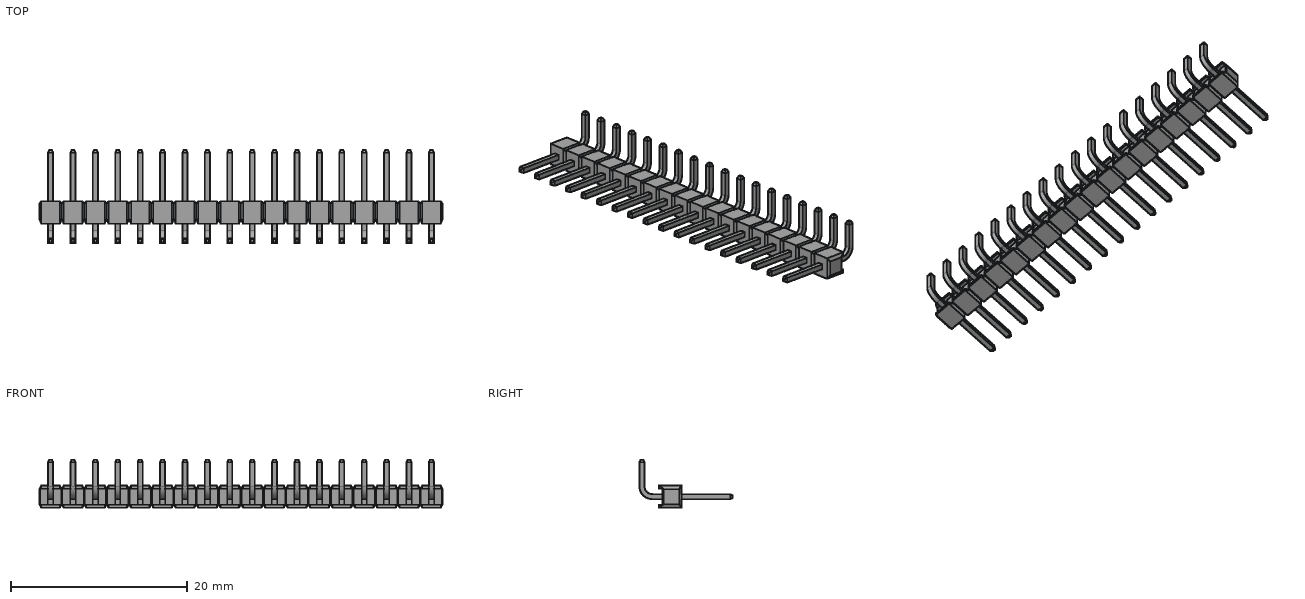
import cadquery as cq
import math

PIN_COUNT = 18
PITCH = 2.54

HOUSING_HEIGHT = 2.54
HOUSING_DEPTH = 2.58
END_TAPER_LENGTH = 0.23
END_TAPER_Z = 0.41
END_TAPER_BACK = 0.27
END_TAPER_FRONT = 0.55
LIP_THICKNESS = 0.38
RECESS_DEPTH = 0.38
SLOT_DEPTH = 0.35

PIN_WIDTH = 0.6
TOTAL_DEPTH = 10.59
TOTAL_HEIGHT = 5.48
BACK_PIN_LENGTH = 5.8
BEND_INNER_RADIUS = 0.88
TIP_LENGTH = 0.3
TIP_INSET = 0.15

HALF_HEIGHT = HOUSING_HEIGHT / 2
HALF_PIN = PIN_WIDTH / 2
BEND_OUTER_RADIUS = BEND_INNER_RADIUS + PIN_WIDTH
SHANK_BACK_Y = BACK_PIN_LENGTH - TIP_LENGTH
PIN_FRONT_Y = BACK_PIN_LENGTH - TOTAL_DEPTH
SHANK_TOP_Z = TOTAL_HEIGHT - HALF_HEIGHT - TIP_LENGTH
TIP_TAPER = math.degrees(math.atan2(TIP_INSET, TIP_LENGTH))


def rectangle_wire(x, y_min, y_max, z_min, z_max):
    """Closed rectangle in the plane X = x."""
    corners = [(y_min, z_min), (y_max, z_min), (y_max, z_max), (y_min, z_max)]
    points = [cq.Vector(x, y, z) for y, z in corners]
    return cq.Wire.makePolygon(points, close=True)


def front_pocket(width, depth):
    """Cutter that sinks into the -Y face between the upper and lower lips."""
    height = HOUSING_HEIGHT - 2 * LIP_THICKNESS
    cutter = cq.Workplane("XY").box(width, depth, height, centered=(True, False, True))
    return cutter.translate((0, -HOUSING_DEPTH, 0))


def make_block():
    """One housing block, tapered at both X ends, with its -Y face recessed and slotted."""
    end_z = HALF_HEIGHT - END_TAPER_Z
    end_x = PITCH / 2
    full_x = end_x - END_TAPER_LENGTH

    def end_face(x):
        return rectangle_wire(x, END_TAPER_FRONT - HOUSING_DEPTH, -END_TAPER_BACK, -end_z, end_z)

    def full_section(x):
        return rectangle_wire(x, -HOUSING_DEPTH, 0, -HALF_HEIGHT, HALF_HEIGHT)

    sections = [end_face(-end_x), full_section(-full_x), full_section(full_x), end_face(end_x)]
    body = cq.Workplane(cq.Solid.makeLoft(sections, True))
    recess = front_pocket(PITCH, RECESS_DEPTH)
    slot = front_pocket(PIN_WIDTH, RECESS_DEPTH + SLOT_DEPTH)
    return body.cut(recess).cut(slot)


def make_pin():
    """One bent square pin with both tips tapered."""
    bend_y = PIN_FRONT_Y + BEND_OUTER_RADIUS
    bend_z = BEND_OUTER_RADIUS - HALF_PIN
    pin = (
        cq.Workplane("YZ")
        .moveTo(SHANK_BACK_Y, -HALF_PIN)
        .lineTo(bend_y, -HALF_PIN)
        .radiusArc((PIN_FRONT_Y, bend_z), BEND_OUTER_RADIUS)
        .lineTo(PIN_FRONT_Y, SHANK_TOP_Z)
        .lineTo(PIN_FRONT_Y + PIN_WIDTH, SHANK_TOP_Z)
        .lineTo(PIN_FRONT_Y + PIN_WIDTH, bend_z)
        .radiusArc((bend_y, HALF_PIN), -BEND_INNER_RADIUS)
        .lineTo(SHANK_BACK_Y, HALF_PIN)
        .close()
        .extrude(HALF_PIN, both=True)
    )
    for end in (">Y", ">Z"):
        pin = (
            pin.faces(end)
            .workplane(centerOption="CenterOfMass")
            .rect(PIN_WIDTH, PIN_WIDTH)
            .extrude(TIP_LENGTH, taper=TIP_TAPER)
        )
    return pin


def make_header():
    """All the blocks joined end to end along X, each with its pin."""
    position = make_block().union(make_pin())
    header = cq.Workplane("XY")
    for index in range(PIN_COUNT):
        x = (index - (PIN_COUNT - 1) / 2) * PITCH
        header = header.union(position.translate((x, 0, 0)))
    return header


result = make_header()